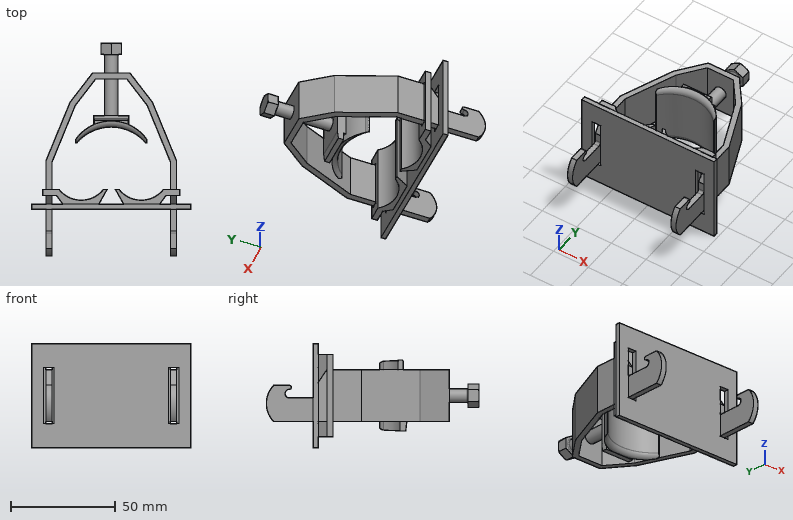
import cadquery as cq
import math


plate_width = 76.5
plate_height = 50.0
plate_thickness = 2.5
slot_width = 5.0
slot_height = 26.8

strap_thickness = 3.0
strap_height = 25.0
strap_half_width = 31.4
strap_center_x = strap_half_width - strap_thickness / 2
crown_half_width = 9.0
crown_y = 62.9
knee_half_width = 19.8
knee_y = 48.9
shoulder_y = 20.7

hook_end_y = -25.0
hook_top_z = 5.0
hook_bulge = 3.6
arm_top_z = -1.0
arm_fillet = 1.3
throat_center_y = -13.9
throat_radius = 2.0
nose_radius = 1.0
arm_step_y = -1.0
taper_end_z = 5.0

cradle_height = 39.6
cradle_top_y = 7.1
flange_thickness = 3.0
flange_outer_x = 32.9
web_outer_top_x = 26.3
base_outer_x = 23.3
base_inner_x = 5.9
lip_inner_x = 1.9
seat_inner_x = 3.7
seat_outer_x = 25.1
seat_floor_y = 1.9

shank_diameter = 6.7
head_across_flats = 9.9
head_length = 5.4
head_chamfer = 0.4
neck_fillet = 0.5
bolt_top_y = 77.2

shoe_height = 33.7
shoe_half_width = 17.1
shoe_crest_y = 39.9
shoe_thickness = 3.0
shoe_outer_radius = 20.9
shoe_inner_radius = 21.9
shoe_tip_y = 29.4
shoe_edge_rounding = 2.8
shoe_corner_rounding = 1.2
pad_half_width = 8.5
pad_back_y = 42.5
pad_top_z = 10.0
pad_bottom_z = -17.0
pad_taper_start_z = -12.5
pad_taper = 0.5
pad_overhang_y = 39.3
rib_half_width = 8.0
rib_back_y = 40.8
rib_top_z = 17.2
rib_chamfer = 0.6


def make_plate():
    """Flat rectangular plate with two upright slots for the strap arms."""
    slots = (
        cq.Workplane("XZ")
        .pushPoints([(-strap_center_x, 0), (strap_center_x, 0)])
        .rect(slot_width, slot_height)
        .extrude(plate_thickness)
    )
    return cq.Workplane("XZ").rect(plate_width, plate_height).extrude(plate_thickness).cut(slots)


def strap_outline(end_y):
    """Closed outline around the outside of the bent strap, with its open end at end_y."""
    right_side = [
        (strap_half_width, end_y),
        (strap_half_width, shoulder_y),
        (knee_half_width, knee_y),
        (crown_half_width, crown_y),
    ]
    left_side = [(-x, y) for x, y in reversed(right_side)]
    return cq.Workplane("XY", origin=(0, 0, -strap_height / 2)).polyline(right_side + left_side).close()


def strap_side_profile():
    """Side outline (Y, Z) of the strap: full-height band, stepped down to a hooked arm."""
    half_height = strap_height / 2
    hook_arc_start_y = hook_end_y + hook_bulge
    taper_start_y = cradle_top_y - flange_thickness
    throat_center_z = arm_top_z + throat_radius
    throat_top_z = throat_center_z + throat_radius
    fillet_middle = arm_fillet * (1 - math.sqrt(0.5))
    nose_center_z = hook_top_z - nose_radius
    return (
        cq.Workplane("YZ", origin=(-strap_half_width, 0, 0))
        .moveTo(crown_y, -half_height)
        .lineTo(crown_y, half_height)
        .lineTo(taper_start_y, half_height)
        .lineTo(arm_step_y, taper_end_z)
        .lineTo(arm_step_y, arm_top_z + arm_fillet)
        .threePointArc(
            (arm_step_y - fillet_middle, arm_top_z + fillet_middle),
            (arm_step_y - arm_fillet, arm_top_z),
        )
        .lineTo(throat_center_y, arm_top_z)
        .threePointArc((throat_center_y - throat_radius, throat_center_z), (throat_center_y, throat_top_z))
        .threePointArc((throat_center_y + nose_radius, nose_center_z), (throat_center_y, hook_top_z))
        .lineTo(hook_arc_start_y, hook_top_z)
        .threePointArc((hook_end_y, (hook_top_z - half_height) / 2), (hook_arc_start_y, -half_height))
        .close()
        .extrude(2 * strap_half_width)
    )


def make_strap():
    """Bent strap with hooked ends and a bolt hole through its crown."""
    outside = strap_outline(hook_end_y).extrude(strap_height)
    inside = strap_outline(hook_end_y - strap_thickness).offset2D(-strap_thickness).extrude(strap_height)
    bolt_hole = cq.Workplane("XZ", origin=(0, crown_y, 0)).circle(shank_diameter / 2).extrude(strap_thickness)
    return outside.cut(inside).intersect(strap_side_profile()).cut(bolt_hole)


def make_cradle(side):
    """Cradle on one side (+1 or -1 along X), its flange slotted for the strap."""
    flange_bottom_y = cradle_top_y - flange_thickness
    seat_center_x = (seat_inner_x + seat_outer_x) / 2
    body = (
        cq.Workplane("XY", origin=(0, 0, -cradle_height / 2))
        .moveTo(side * flange_outer_x, cradle_top_y)
        .lineTo(side * seat_outer_x, cradle_top_y)
        .threePointArc((side * seat_center_x, seat_floor_y), (side * seat_inner_x, cradle_top_y))
        .lineTo(side * lip_inner_x, cradle_top_y)
        .lineTo(side * base_inner_x, 0)
        .lineTo(side * base_outer_x, 0)
        .lineTo(side * web_outer_top_x, flange_bottom_y)
        .lineTo(side * flange_outer_x, flange_bottom_y)
        .close()
        .extrude(cradle_height)
    )
    slot = (
        cq.Workplane("XZ", origin=(side * strap_center_x, cradle_top_y, 0))
        .rect(strap_thickness, slot_height)
        .extrude(flange_thickness)
    )
    return body.cut(slot)


def make_bolt():
    """Hexagon bolt along Y; the end of its shank bears on the pad of the shoe."""
    across_corners = head_across_flats / math.cos(math.pi / 6)
    head_bottom_y = bolt_top_y - head_length
    head = (
        cq.Workplane("XZ", origin=(0, bolt_top_y, 0))
        .transformed(rotate=(0, 0, 90))
        .polygon(6, across_corners)
        .extrude(head_length)
    )
    chamfered_blank = (
        cq.Workplane("XZ", origin=(0, bolt_top_y, 0))
        .circle(across_corners / 2)
        .extrude(head_length)
        .faces(">Y")
        .chamfer(head_chamfer)
    )
    shank = (
        cq.Workplane("XZ", origin=(0, head_bottom_y, 0))
        .circle(shank_diameter / 2)
        .extrude(head_bottom_y - pad_back_y)
    )
    under_head = cq.selectors.BoxSelector(
        (-shank_diameter, head_bottom_y - neck_fillet, -shank_diameter),
        (shank_diameter, head_bottom_y + neck_fillet, shank_diameter),
    )
    bolt = head.intersect(chamfered_blank).union(shank)
    return bolt.edges("%CIRCLE").edges(under_head).fillet(neck_fillet)


def arc_y(crest_y, radius, x):
    """Y at distance x from the middle of an arc that peaks at crest_y."""
    return crest_y - radius + math.sqrt(radius**2 - x**2)


def make_shoe():
    """Curved pressure shoe with a bolt pad and a thinner rib on its back."""
    inner_crest_y = shoe_crest_y - shoe_thickness
    outer_edge_y = arc_y(shoe_crest_y, shoe_outer_radius, shoe_half_width)
    inner_drop = inner_crest_y - shoe_tip_y
    inner_tip_x = math.sqrt(shoe_inner_radius**2 - (shoe_inner_radius - inner_drop) ** 2)
    saddle = (
        cq.Workplane("XY", origin=(0, 0, -shoe_height / 2))
        .moveTo(-shoe_half_width, outer_edge_y)
        .threePointArc((0, shoe_crest_y), (shoe_half_width, outer_edge_y))
        .lineTo(shoe_half_width, shoe_tip_y)
        .lineTo(inner_tip_x, shoe_tip_y)
        .threePointArc((0, inner_crest_y), (-inner_tip_x, shoe_tip_y))
        .lineTo(-shoe_half_width, shoe_tip_y)
        .close()
        .extrude(shoe_height)
    )
    back_corners = saddle.edges("|Z").edges(cq.selectors.BoxSelector(
        (-shoe_height, outer_edge_y - shoe_corner_rounding, -shoe_height),
        (shoe_height, outer_edge_y + shoe_corner_rounding, shoe_height),
    ))
    saddle = back_corners.fillet(shoe_corner_rounding)
    inner_rims = saddle.edges("%CIRCLE").edges(cq.selectors.RadiusNthSelector(-1))
    saddle = inner_rims.fillet(shoe_edge_rounding)

    pad_root_y = arc_y(shoe_crest_y, shoe_outer_radius, pad_half_width)
    pad = (
        cq.Workplane("YZ", origin=(-pad_half_width, 0, 0))
        .moveTo(pad_root_y, pad_top_z)
        .lineTo(pad_back_y, pad_top_z)
        .lineTo(pad_back_y, pad_taper_start_z)
        .lineTo(pad_back_y - pad_taper, pad_bottom_z)
        .lineTo(pad_overhang_y, pad_bottom_z)
        .lineTo(pad_overhang_y, pad_taper_start_z)
        .lineTo(pad_root_y, pad_taper_start_z)
        .close()
        .extrude(2 * pad_half_width)
    )

    rib_root_y = arc_y(shoe_crest_y, shoe_outer_radius, rib_half_width)
    rib = (
        cq.Workplane("XY")
        .moveTo(-rib_half_width, rib_root_y)
        .threePointArc((0, shoe_crest_y), (rib_half_width, rib_root_y))
        .lineTo(rib_half_width, rib_back_y)
        .lineTo(-rib_half_width, rib_back_y)
        .close()
        .extrude(rib_top_z)
        .faces(">Z")
        .edges(">Y")
        .chamfer(rib_chamfer)
    )
    return saddle.union(pad).union(rib)


plate = make_plate()
strap = make_strap()
cradles = [make_cradle(side) for side in (-1, 1)]
bolt = make_bolt()
shoe = make_shoe()

result = cq.Compound.makeCompound(
    [plate.val(), strap.val(), *[cradle.val() for cradle in cradles], bolt.val(), shoe.val()]
)